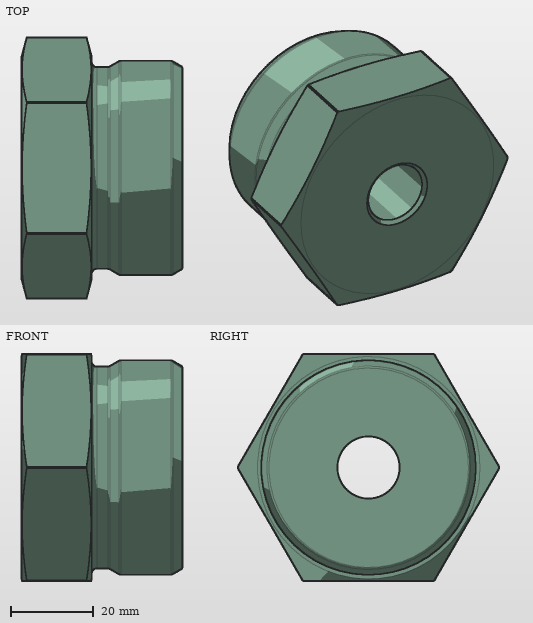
import cadquery as cq
import math

total_length = 39.0
head_length = 17.0
across_flats = 55.0
corner_diameter = 63.3
head_face_diameter = 53.85
head_chamfer_angle = 15.0

neck_diameter = 48.9
body_diameter = 52.0
body_start = 23.8
shank_cone_angle = 30.0

head_blend_radius = 1.2
neck_blend_radius = 1.0
body_blend_radius = 0.9
end_blend_radius = 0.6

bore_diameter = 15.0
bore_mouth_diameter = 16.85

cone_length = (body_diameter - neck_diameter) / 2 / math.tan(math.radians(shank_cone_angle))
neck_end = body_start - cone_length
body_end = total_length - cone_length


def revolve_about_x(points):
    """Turn a closed (x, radius) outline about the X axis."""
    return cq.Workplane("XY").polyline(points).close().revolve(360, (0, 0, 0), (1, 0, 0))


def blend_circle(body, x, radius, blend_radius):
    """Round the circular edge at the given station and radius."""
    margin = 0.05
    reach = radius + margin
    near = (x - margin, -reach, -reach)
    far = (x + margin, reach, reach)
    return body.edges(cq.selectors.BoxSelector(near, far, boundingbox=True)).fillet(blend_radius)


def make_head():
    """Hexagon with flats facing up and down, chamfered conically at both ends."""
    hexagon_diameter = across_flats / math.cos(math.radians(30))
    hexagon = cq.Workplane("YZ").polygon(6, hexagon_diameter).extrude(head_length)
    corner_radius = corner_diameter / 2
    face_radius = head_face_diameter / 2
    chamfer_length = (corner_radius - face_radius) * math.tan(math.radians(head_chamfer_angle))
    envelope = revolve_about_x([
        (0, 0),
        (0, face_radius),
        (chamfer_length, corner_radius),
        (head_length - chamfer_length, corner_radius),
        (head_length, face_radius),
        (head_length, 0),
    ])
    return hexagon.intersect(envelope)


def make_shank():
    """Neck and larger body, with conical ends on the body."""
    neck_radius = neck_diameter / 2
    body_radius = body_diameter / 2
    return revolve_about_x([
        (head_length, 0),
        (head_length, neck_radius),
        (neck_end, neck_radius),
        (body_start, body_radius),
        (body_end, body_radius),
        (total_length, neck_radius),
        (total_length, 0),
    ])


def make_bore():
    """Through hole with a 45 degree countersink at the head face."""
    bore_radius = bore_diameter / 2
    mouth_radius = bore_mouth_diameter / 2
    return revolve_about_x([
        (0, 0),
        (0, mouth_radius),
        (mouth_radius - bore_radius, bore_radius),
        (total_length, bore_radius),
        (total_length, 0),
    ])


result = make_head().union(make_shank())
shank_blends = [
    (head_length, neck_diameter, head_blend_radius),
    (neck_end, neck_diameter, neck_blend_radius),
    (body_start, body_diameter, body_blend_radius),
    (body_end, body_diameter, body_blend_radius),
    (total_length, neck_diameter, end_blend_radius),
]
for station, diameter, blend_radius in shank_blends:
    result = blend_circle(result, station, diameter / 2, blend_radius)

result = result.cut(make_bore())